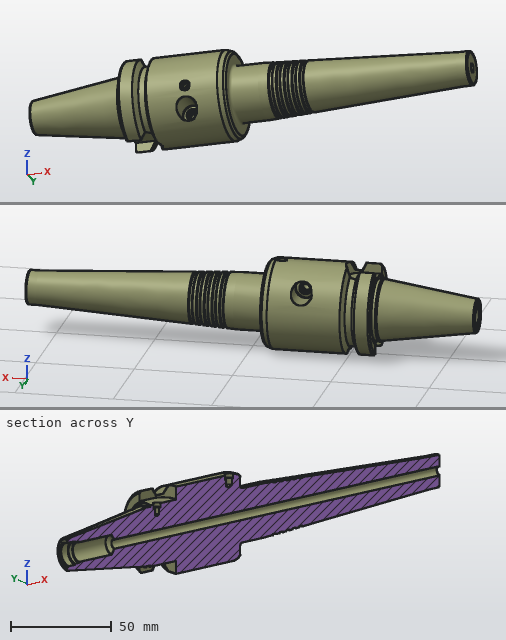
import cadquery as cq
import math

length = 228.5
body_radius = 46.0 / 2
flange_x = 50.5
body_end_x = 106.5

gauge_radius = 31.7 / 2
taper_slope = 7 / 48
taper_end_x = 48.2
shank_chamfer = 0.7
lip_radius = 16.0
lip_width = 0.5
neck_radius = 15.5
relief_radius = 17.5
relief_depth = 0.7

flange_chamfer = 1.0
groove_floor_radius = 19.2
groove_start_x = 58.2
groove_floor_start_x = 60.3
groove_floor_end_x = 63.7
groove_end_x = 65.5

bevel_start_x = 102.5
bevel_corner_x = 105.3
bevel_corner_radius = 22.0
body_end_radius = 20.5

arm_radius = 14.5
arm_root_fillet = 1.4
arm_taper_start_x = 121.3
tip_start_x = 222.7
tip_radius = 8.7
tip_chamfer = 0.7

ring_count = 5
ring_start_x = 126.3
ring_last_x = 142.3
ring_pitch = (ring_last_x - ring_start_x) / (ring_count - 1)
ring_width = 2.3
ring_flank = 0.5
ring_depth = 0.5

bore_diameter = 4.5
mouth_diameter = 12.5
mouth_depth = 1.0
entry_diameter = 12.0
entry_depth = 5.0
thread_diameter = 11.0
thread_depth = 7.3
pilot_diameter = 10.0
pilot_depth = 27.5

keyway_width = 16.0
keyway_floor = 16.2
keyway_end_x = 67.0

screw_x = 85.6
screw_offset = 11.9
screw_hole_diameter = 10.5
screw_hole_floor = 9.1
screw_base_diameter = 10.0
screw_top_diameter = 6.0
screw_height = 1.0
socket_entry_diameter = 5.0
socket_entry_depth = 1.1
socket_diameter = 4.0
socket_depth = 3.5

side_hole_drop = 1.03
top_hole_x = 99.4
chip_hole_x = 55.3
small_hole_depth = 2.3
small_core_depth = 5.7
side_hole_diameter = 5.0
side_core_diameter = 3.5
top_hole_diameter = 4.5
top_core_diameter = 3.5
chip_hole_diameter = 4.0
chip_core_diameter = 2.3

drill_half_angle = math.radians(59)


def taper_radius(x):
    """Radius of the shank taper at X."""
    return gauge_radius - taper_slope * (flange_x - x)


def arm_taper_radius(x):
    """Radius of the tapered arm at X."""
    share = (x - arm_taper_start_x) / (tip_start_x - arm_taper_start_x)
    return arm_radius + share * (tip_radius - arm_radius)


def revolve_about_x(outline):
    """Close an outline in the XY plane and spin it about the part axis."""
    return outline.close().revolve(360, (0, 0, 0), (1, 0, 0))


def make_body():
    """Turned outside shape, without the bore, ring grooves, keyways and cross holes."""
    lip_end_x = taper_end_x + lip_width
    undercut_x = flange_x + relief_depth
    outline = (
        cq.Workplane("XY")
        .moveTo(0, 0)
        .lineTo(0, taper_radius(0) - shank_chamfer)
        .lineTo(shank_chamfer, taper_radius(shank_chamfer))
        .lineTo(taper_end_x, taper_radius(taper_end_x))
        .lineTo(taper_end_x, lip_radius)
        .lineTo(lip_end_x, lip_radius)
        .lineTo(lip_end_x + lip_width, neck_radius)
        .lineTo(undercut_x, neck_radius)
        .lineTo(undercut_x, relief_radius - relief_depth)
        .lineTo(flange_x, relief_radius)
        .lineTo(flange_x, body_radius - flange_chamfer)
        .lineTo(flange_x + flange_chamfer, body_radius)
        .lineTo(groove_start_x, body_radius)
        .lineTo(groove_floor_start_x, groove_floor_radius)
        .lineTo(groove_floor_end_x, groove_floor_radius)
        .lineTo(groove_end_x, body_radius)
        .lineTo(bevel_start_x, body_radius)
        .lineTo(bevel_corner_x, bevel_corner_radius)
        .lineTo(body_end_x, body_end_radius)
        .lineTo(body_end_x, arm_radius + arm_root_fillet)
        .radiusArc((body_end_x + arm_root_fillet, arm_radius), -arm_root_fillet)
        .lineTo(arm_taper_start_x, arm_radius)
        .lineTo(tip_start_x, tip_radius)
        .lineTo(length - tip_chamfer, tip_radius)
        .lineTo(length, tip_radius - tip_chamfer)
        .lineTo(length, 0)
    )
    return revolve_about_x(outline)


def make_ring_groove(start_x):
    """Trapezoidal groove following the taper of the arm."""
    end_x = start_x + ring_width
    floor_start_x = start_x + ring_flank
    floor_end_x = end_x - ring_flank
    outline = (
        cq.Workplane("XY")
        .moveTo(start_x, arm_taper_radius(start_x))
        .lineTo(floor_start_x, arm_taper_radius(floor_start_x) - ring_depth)
        .lineTo(floor_end_x, arm_taper_radius(floor_end_x) - ring_depth)
        .lineTo(end_x, arm_taper_radius(end_x))
        .lineTo(end_x, body_radius)
        .lineTo(start_x, body_radius)
    )
    return revolve_about_x(outline)


def cone_length(diameter):
    """Depth of a drill point of the given diameter."""
    return diameter / 2 / math.tan(drill_half_angle)


def make_bore():
    """Stepped bore from the shank end, running through as a narrow channel."""
    pilot_radius = pilot_diameter / 2
    bore_radius = bore_diameter / 2
    point_depth = cone_length(pilot_diameter) - cone_length(bore_diameter)
    outline = (
        cq.Workplane("XY")
        .moveTo(0, 0)
        .lineTo(0, mouth_diameter / 2)
        .lineTo(mouth_depth, mouth_diameter / 2)
        .lineTo(mouth_depth, entry_diameter / 2)
        .lineTo(entry_depth, entry_diameter / 2)
        .lineTo(entry_depth, thread_diameter / 2)
        .lineTo(thread_depth, thread_diameter / 2)
        .lineTo(thread_depth, pilot_radius)
        .lineTo(pilot_depth, pilot_radius)
        .lineTo(pilot_depth + point_depth, bore_radius)
        .lineTo(length, bore_radius)
        .lineTo(length, 0)
    )
    return revolve_about_x(outline)


def make_keyway():
    """Round-ended drive slot on the +Z side of the flange."""
    half_width = keyway_width / 2
    arc_x = keyway_end_x - half_width
    return (
        cq.Workplane("XY")
        .workplane(offset=keyway_floor)
        .moveTo(taper_end_x, -half_width)
        .lineTo(arc_x, -half_width)
        .threePointArc((keyway_end_x, 0), (arc_x, half_width))
        .lineTo(taper_end_x, half_width)
        .close()
        .extrude(body_radius)
    )


def drill(point, inward, diameter, depth):
    """Cylinder with a drill point, running from a point along a direction."""
    cylinder = cq.Solid.makeCylinder(diameter / 2, depth, point, inward)
    point_cone = cq.Solid.makeCone(diameter / 2, 0, cone_length(diameter), point + inward * depth, inward)
    return cylinder.fuse(point_cone)


def stepped_hole(point, inward, diameter, depth, core_diameter, core_depth):
    """Flat-bottomed hole with a narrower drilled core below it."""
    wide = cq.Solid.makeCylinder(diameter / 2, depth, point, inward)
    return wide.fuse(drill(point, inward, core_diameter, core_depth))


def make_screw_hole():
    """Hole on the -Y side holding a chamfered set screw with a drilled socket."""
    inward = cq.Vector(0, 1, 0)
    mouth = cq.Vector(screw_x, -body_radius, -screw_offset)
    depth = body_radius - screw_hole_floor
    hole = cq.Solid.makeCylinder(screw_hole_diameter / 2, depth, mouth, inward)
    screw = cq.Solid.makeCone(
        screw_base_diameter / 2,
        screw_top_diameter / 2,
        screw_height,
        mouth + inward * depth,
        -inward,
    )
    socket = stepped_hole(
        mouth,
        inward,
        socket_entry_diameter,
        depth + socket_entry_depth,
        socket_diameter,
        depth + socket_depth,
    )
    return hole.cut(screw).fuse(socket)


result = make_body().cut(make_bore())
for index in range(ring_count):
    result = result.cut(make_ring_groove(ring_start_x + index * ring_pitch))

keyway = make_keyway()
screw_hole = cq.Workplane(obj=make_screw_hole())
for angle in (0, 180):
    result = result.cut(keyway.rotate((0, 0, 0), (1, 0, 0), angle))
    result = result.cut(screw_hole.rotate((0, 0, 0), (1, 0, 0), angle))

side_hole = stepped_hole(
    cq.Vector(screw_x, -body_radius, -side_hole_drop),
    cq.Vector(0, 1, 0),
    side_hole_diameter,
    small_hole_depth,
    side_core_diameter,
    small_core_depth,
)
top_hole = stepped_hole(
    cq.Vector(top_hole_x, 0, body_radius),
    cq.Vector(0, 0, -1),
    top_hole_diameter,
    small_hole_depth,
    top_core_diameter,
    small_core_depth,
)
chip_hole = stepped_hole(
    cq.Vector(chip_hole_x, 0, keyway_floor),
    cq.Vector(0, 0, -1),
    chip_hole_diameter,
    small_hole_depth,
    chip_core_diameter,
    small_core_depth,
)
for hole in (side_hole, top_hole, chip_hole):
    result = result.cut(cq.Workplane(obj=hole))